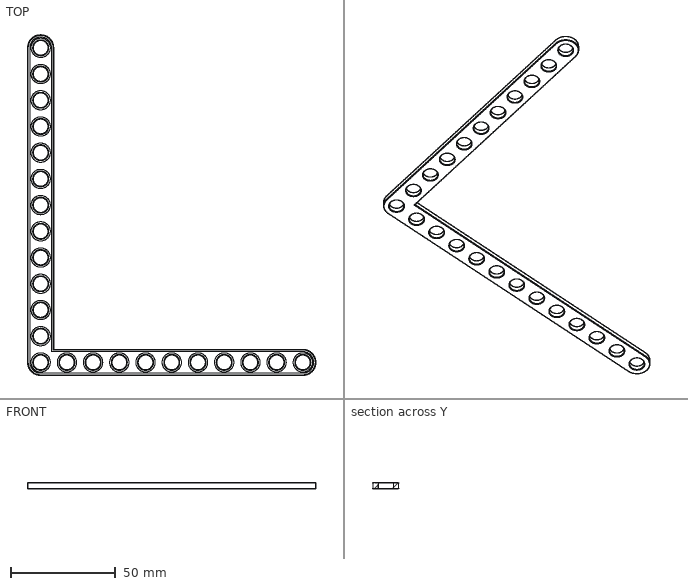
import cadquery as cq

pitch = 12.5
holes_along_x = 11
holes_along_y = 13
thickness = pitch / 4
hole_diameter = 7.0
collar_diameter = 9.2
rim_width = 1.1
edge_chamfer = 0.3
recess_depth = 0.2

arm_length_x = (holes_along_x - 1) * pitch
arm_length_y = (holes_along_y - 1) * pitch
hole_centers = [(i * pitch, 0) for i in range(holes_along_x)]
hole_centers += [(0, j * pitch) for j in range(1, holes_along_y)]


def angle_plate(half_width, height, base_z):
    """L-shaped plate with round arm ends, centred on the two rows of holes."""
    width = 2 * half_width
    plane = cq.Workplane("XY").workplane(offset=base_z)
    arm_x = plane.center(arm_length_x / 2, 0).slot2D(arm_length_x + width, width).extrude(height)
    arm_y = plane.center(0, arm_length_y / 2).slot2D(arm_length_y + width, width, 90).extrude(height)
    return arm_x.union(arm_y)


def cylinders(diameter, height, base_z):
    """One cylinder at every hole position."""
    plane = cq.Workplane("XY").workplane(offset=base_z)
    return plane.pushPoints(hole_centers).circle(diameter / 2).extrude(height)


def top_recess():
    """Shallow recess inside the border, with the rings around the holes left standing."""
    floor_z = thickness - recess_depth
    pocket = angle_plate(pitch / 2 - rim_width, recess_depth, floor_z)
    return pocket.cut(cylinders(collar_diameter, recess_depth, floor_z))


def hole_cutters():
    """Through holes with a countersink at both mouths."""
    radius = hole_diameter / 2
    mouth_radius = radius + edge_chamfer
    profile = [
        (0, 0),
        (mouth_radius, 0),
        (radius, edge_chamfer),
        (radius, thickness - edge_chamfer),
        (mouth_radius, thickness),
        (0, thickness),
    ]
    cutter = cq.Workplane("XZ").polyline(profile).close().revolve(360, (0, 0, 0), (0, 1, 0)).val()
    return cq.Workplane("XY").pushPoints(hole_centers).eachpoint(lambda place: cutter.moved(place))


body = angle_plate(pitch / 2, thickness, 0)
body = body.faces("<Z or >Z").chamfer(edge_chamfer)
body = body.cut(top_recess())
result = body.cut(hole_cutters())